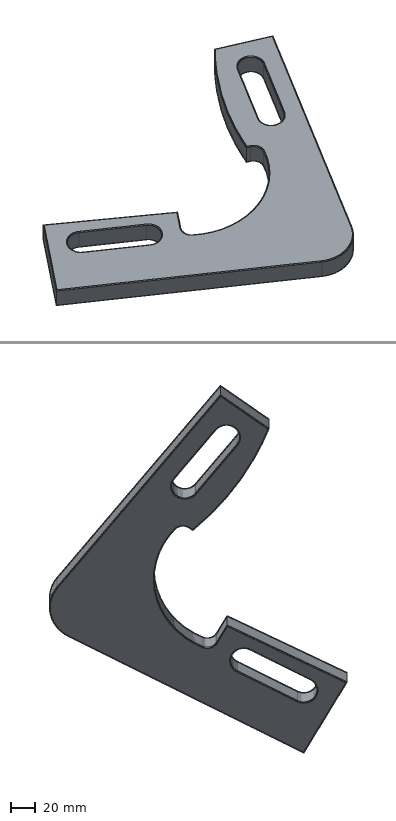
import cadquery as cq
import math

thickness = 19.0
edge_chamfer = 0.7
lean = 8.7
outer_fillet = 30.0

tip_x = 214.2
tip_y = -249.3
tip_width = 72.8

end_height = 49.5
bulge_x = 58.5
bulge_depth = 59.8
arm_length = 110.2
arm_depth = 56.3

recess_x = 123.0
recess_y = -111.0
recess_radius = 66.8
recess_middle_angle = 45
recess_fillet = 8.7
notch_x = 160.8
notch_y = -130.1

slot_length = 76.8
slot_width = 21.5
straight_slot_center = (54.9, -27.0)
leaning_slot_center = (173.5, -187.5)

across_x = math.cos(math.radians(lean))
across_y = -math.sin(math.radians(lean))
slope = math.tan(math.radians(lean))


def recess_point(angle):
    """Point on the recess circle at an angle in degrees from +X."""
    turn = math.radians(angle)
    return (recess_x + recess_radius * math.cos(turn), recess_y + recess_radius * math.sin(turn))


def shoulder_meeting_point():
    """Where the shoulder of the leaning arm reaches the recess circle."""
    dx = notch_x - recess_x
    dy = notch_y - recess_y
    along = dx * across_x + dy * across_y
    reach = -along + math.sqrt(along**2 - dx**2 - dy**2 + recess_radius**2)
    return (notch_x + reach * across_x, notch_y + reach * across_y)


def fillet_corner(body, point, radius):
    """Round the upright edge nearest to a plan point."""
    nearest = cq.selectors.NearestToPointSelector((*point, thickness / 2))
    return body.edges("|Z").edges(nearest).fillet(radius)


def make_plate():
    outer_corner = (tip_x - tip_y * slope, 0)
    inner_tip = (tip_x - tip_width * across_x, tip_y - tip_width * across_y)
    recess_start = (arm_length, recess_y + math.sqrt(recess_radius**2 - (recess_x - arm_length) ** 2))
    recess_end = shoulder_meeting_point()
    plate = (
        cq.Workplane("XY")
        .moveTo(0, 0)
        .lineTo(*outer_corner)
        .lineTo(tip_x, tip_y)
        .lineTo(*inner_tip)
        .lineTo(notch_x, notch_y)
        .lineTo(*recess_end)
        .threePointArc(recess_point(recess_middle_angle), recess_start)
        .lineTo(arm_length, -arm_depth)
        .spline([(bulge_x, -bulge_depth), (0, -end_height)], includeCurrent=True)
        .close()
        .extrude(thickness)
    )
    plate = fillet_corner(plate, outer_corner, outer_fillet)
    for corner in (recess_start, recess_end):
        plate = fillet_corner(plate, corner, recess_fillet)
    return plate


def make_slot(center, angle):
    return cq.Workplane("XY").center(*center).slot2D(slot_length, slot_width, angle).extrude(thickness)


plate = make_plate()
plate = plate.cut(make_slot(straight_slot_center, 0))
plate = plate.cut(make_slot(leaning_slot_center, 90 - lean))

result = plate.faces("<Z or >Z").edges().chamfer(edge_chamfer)